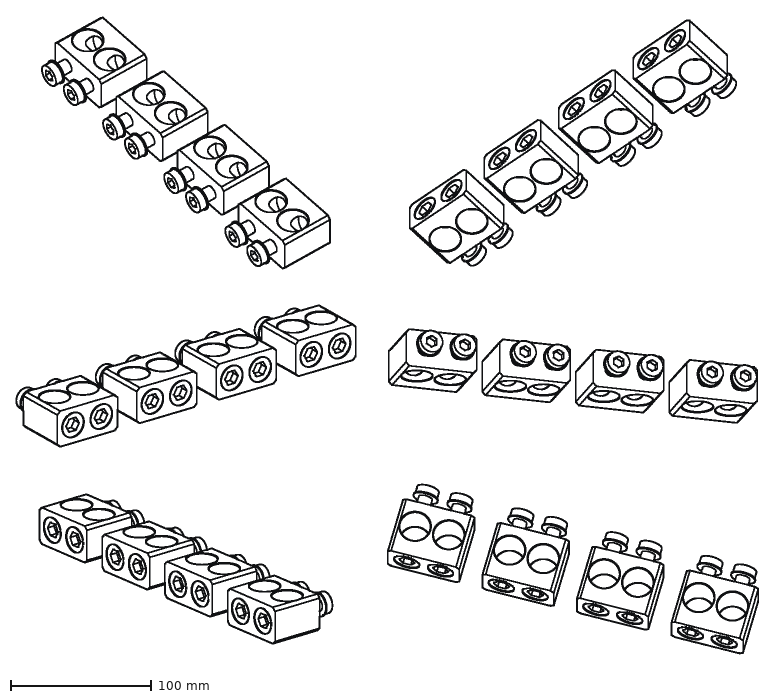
import cadquery as cq
import math

block_count = 4
block_pitch = 70.0

block_length = 53.0
block_depth = 41.5
block_height = 28.0
block_chamfer = 2.5

station_pitch = 25.0
bore_diameter = 22.0
bore_chamfer = 0.5
bore_center_y = 18.7

set_screw_diameter = 19.0
set_screw_sink = 0.8
set_screw_tip_depth = 10.2
set_screw_hex_flats = 10.0
set_screw_hex_bottom_depth = 6.6

shank_diameter = 10.0
shank_length = 9.9
washer_diameter = 18.0
washer_thickness = 0.9
head_diameter = 16.3
head_height = 6.0
head_hex_flats = 7.4
head_hex_depth = 5.0

corner_toward_x = 0
corner_toward_z = 30

station_xs = [-station_pitch / 2, station_pitch / 2]


def y_cylinder(diameter, x, y_start, y_end):
    """Cylinder along +Y at mid height, between two Y positions."""
    return cq.Workplane(cq.Solid.makeCylinder(
        diameter / 2, y_end - y_start, cq.Vector(x, y_start, 0), cq.Vector(0, 1, 0)))


def y_hex_prism(flats, x, y_start, y_end, corner_angle):
    """Hexagonal prism along +Y; corner_angle turns a corner away from the X axis."""
    corner_diameter = flats / math.cos(math.pi / 6)
    return (
        cq.Workplane("XZ")
        .polygon(6, corner_diameter)
        .extrude(-(y_end - y_start))
        .rotate((0, 0, 0), (0, 1, 0), corner_angle)
        .translate((x, y_start, 0))
    )


def bore_cutter(x):
    """Vertical through bore with a chamfer at both mouths."""
    radius = bore_diameter / 2
    half_height = block_height / 2
    mouth_radius = radius + bore_chamfer
    return (
        cq.Workplane("XZ")
        .moveTo(0, -half_height)
        .lineTo(mouth_radius, -half_height)
        .lineTo(radius, -half_height + bore_chamfer)
        .lineTo(radius, half_height - bore_chamfer)
        .lineTo(mouth_radius, half_height)
        .lineTo(0, half_height)
        .close()
        .revolve(360, (0, 0, 0), (0, 1, 0))
        .translate((x, bore_center_y, 0))
    )


def set_screw_cutters(x):
    """Voids left around a set screw: sunk end, hex socket, and open thread hole up to the bore."""
    screw_end_y = block_depth - set_screw_sink
    sunk_end = y_cylinder(set_screw_diameter, x, screw_end_y, block_depth)
    hex_bottom_y = block_depth - set_screw_hex_bottom_depth
    socket = y_hex_prism(set_screw_hex_flats, x, hex_bottom_y, screw_end_y, corner_toward_x)
    open_hole = y_cylinder(set_screw_diameter, x, bore_center_y, block_depth - set_screw_tip_depth)
    return [sunk_end, socket, open_hole]


def cap_screw(x):
    """Exposed shank, washer and socket head in front of the block."""
    washer_back_y = -shank_length
    head_back_y = washer_back_y - washer_thickness
    head_front_y = head_back_y - head_height
    shank = y_cylinder(shank_diameter, x, washer_back_y, 0)
    washer = y_cylinder(washer_diameter, x, head_back_y, washer_back_y)
    head = y_cylinder(head_diameter, x, head_front_y, head_back_y)
    socket = y_hex_prism(head_hex_flats, x, head_front_y, head_front_y + head_hex_depth, corner_toward_z)
    return shank.union(washer).union(head).cut(socket)


def clamp_block():
    """One block together with its screws, as a single solid."""
    body = (
        cq.Workplane("XY")
        .box(block_length, block_depth, block_height)
        .edges("|Y")
        .chamfer(block_chamfer)
        .translate((0, block_depth / 2, 0))
    )
    for x in station_xs:
        body = body.cut(bore_cutter(x))
        for cutter in set_screw_cutters(x):
            body = body.cut(cutter)
        body = body.union(cap_screw(x))
    return body


block = clamp_block()
first_block_x = -block_pitch * (block_count - 1) / 2
blocks = [block.translate((first_block_x + i * block_pitch, 0, 0)) for i in range(block_count)]

result = cq.Compound.makeCompound([clamp.val() for clamp in blocks])